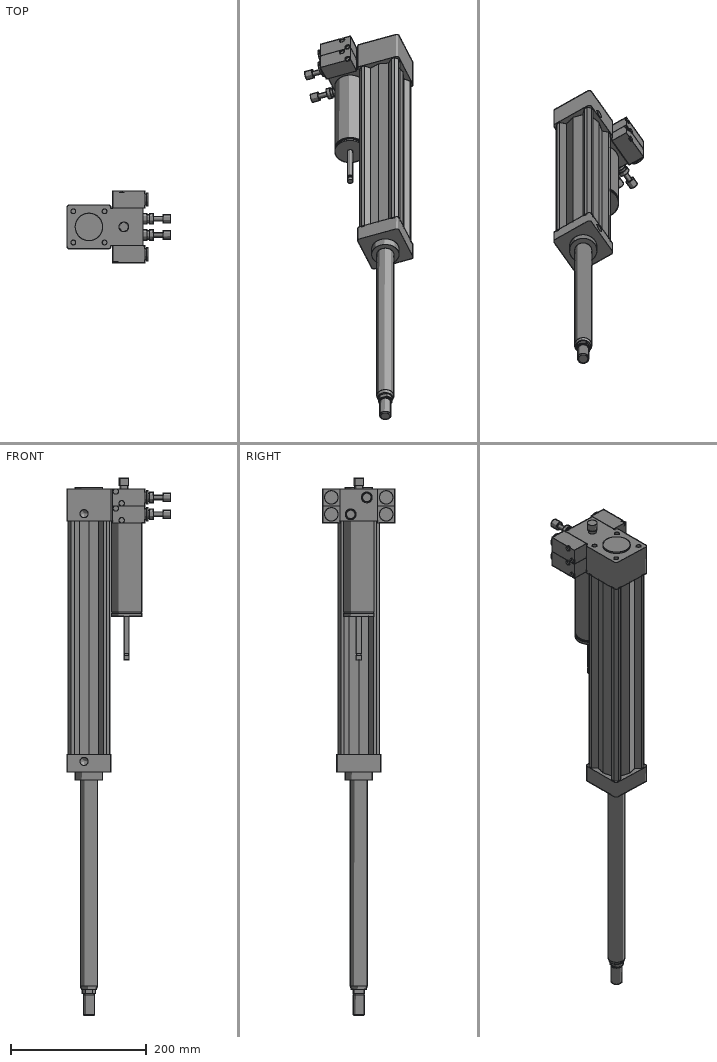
import cadquery as cq
import math


OVERALL_WIDTH = 153.0
OVERALL_DEPTH = 106.0
OVERALL_HEIGHT = 791.0

CAP_BOTTOM = 358.0
CAP_TOP = 384.5
HEAD_BOTTOM = 728.0
HEAD_TOP = 775.0

BLOCK_SIDE = 65.0
BLOCK_CORNER = 4.0
COLLAR_DIAMETER = 40.0
COLLAR_LENGTH = 12.0
PORT_DIAMETER = 12.0
PORT_DEPTH = 8.0
PORT_X = -7.0
HEAD_PORT_Z = 739.0
CAP_PORT_Z = 374.0
DRILL_TIP_ANGLE = 118

EXTENSION_END_X = 80.0
EXTENSION_WIDTH = 55.0
BOSS_HEIGHT = 2.0
SCREW_HOLE_DIAMETER = 7.0
SCREW_HOLE_DEPTH = 8.0
SCREW_HOLE_PITCH = 46.0

KNOB_X = 51.5
KNOB_DIAMETER = 14.0
KNOB_HEIGHT = 11.0
KNOB_TOP = OVERALL_HEIGHT
KNOB_NECK_DIAMETER = 12.0

RESERVOIR_X = 55.0
RESERVOIR_DIAMETER = 45.0
RESERVOIR_BOTTOM = 588.0
RESERVOIR_GROOVE_DIAMETER = 43.5
RESERVOIR_GROOVE_WIDTH = 2.0
RESERVOIR_LIP = 4.0
GAUGE_DIAMETER = 8.0
GAUGE_BOTTOM = 524.0
GAUGE_GROOVE_DIAMETER = 7.0
GAUGE_GROOVE_WIDTH = 3.0
GAUGE_TIP = 6.0

VALVE_START_X = 35.0
VALVE_OUTER_Y = OVERALL_DEPTH / 2
VALVE_STACK_HEIGHT = 50.0
VALVE_HEIGHT = VALVE_STACK_HEIGHT / 2
VALVE_END_X = 82.0
PLUG_NECK_DIAMETER = 17.0
PLUG_NECK_LENGTH = 2.0
PLUG_DIAMETER = 20.0
PLUG_LENGTH = 2.0
VALVE_HOLE_DIAMETER = 8.0
VALVE_HOLE_DEPTH = 2.0
VALVE_HOLE_OFFSET = 9.0
UPPER_HOLE_X = 39.5
LOWER_HOLE_X = 48.0

SCREW_Y = 12.0
SCREW_FLANGE_DIAMETER = 16.0
SCREW_NECK_DIAMETER = 13.0
SCREW_STEM_DIAMETER = 7.0
SCREW_KNOB_DIAMETER = 13.0
SCREW_BASE_END = 85.5
SCREW_NECK_END = 89.0
SCREW_FLANGE_END = 95.0
SCREW_STEM_END = 109.0
SCREW_KNOB_END = OVERALL_WIDTH - BLOCK_SIDE / 2

TUBE_HALF_SIDE = 31.0
TUBE_CORNER = 5.0
GROOVE_OUTER = 21.0
GROOVE_INNER = 14.0
RIDGE_SLOPE = 15

ROD_DIAMETER = 25.0
ROD_SHOULDER_Z = 39.0
ROD_CHAMFER_WIDTH = 1.5
ROD_CHAMFER_HEIGHT = 5.0
WRENCH_DIAMETER = 20.0
WRENCH_FLATS = 17.0
WRENCH_BOTTOM = 32.5
THREAD_DIAMETER = 17.0
THREAD_CHAMFER = 1.5
UNDERCUT_DIAMETER = 16.0
UNDERCUT_LENGTH = 2.0


def upright(diameter, bottom, top, x=0.0):
    """A vertical cylinder between two heights."""
    return cq.Workplane("XY", origin=(x, 0, bottom)).circle(diameter / 2).extrude(top - bottom)


def end_block(bottom, top):
    """The square block with rounded upright corners at either end of the tube."""
    block = cq.Workplane("XY", origin=(0, 0, bottom)).rect(BLOCK_SIDE, BLOCK_SIDE).extrude(top - bottom)
    return block.edges("|Z").fillet(BLOCK_CORNER)


def port_drill(z):
    """A drilled port in the -Y face, with a conical bottom."""
    radius = PORT_DIAMETER / 2
    tip = PORT_DEPTH + radius / math.tan(math.radians(DRILL_TIP_ANGLE / 2))
    return (
        cq.Workplane("XY", origin=(PORT_X, -BLOCK_SIDE / 2, z))
        .polyline([(0, 0), (radius, 0), (radius, PORT_DEPTH), (0, tip)])
        .close()
        .revolve(360, (0, 0, 0), (0, 1, 0))
    )


def reservoir():
    """The oil reservoir with its retaining groove and the level gauge rod below it."""
    groove_bottom = RESERVOIR_BOTTOM + RESERVOIR_LIP
    groove_top = groove_bottom + RESERVOIR_GROOVE_WIDTH
    gauge_groove_bottom = GAUGE_BOTTOM + GAUGE_TIP
    gauge_groove_top = gauge_groove_bottom + GAUGE_GROOVE_WIDTH
    sections = [
        (RESERVOIR_DIAMETER, groove_top, HEAD_BOTTOM),
        (RESERVOIR_GROOVE_DIAMETER, groove_bottom, groove_top),
        (RESERVOIR_DIAMETER, RESERVOIR_BOTTOM, groove_bottom),
        (GAUGE_DIAMETER, gauge_groove_top, RESERVOIR_BOTTOM),
        (GAUGE_GROOVE_DIAMETER, gauge_groove_bottom, gauge_groove_top),
        (GAUGE_DIAMETER, GAUGE_BOTTOM, gauge_groove_bottom),
    ]
    body = upright(*sections[0], RESERVOIR_X)
    for section in sections[1:]:
        body = body.union(upright(*section, RESERVOIR_X))
    return body


def adjusting_screw(y, z):
    """A stepped adjusting screw pointing along +X from the end of the head extension."""
    sections = [
        (SCREW_FLANGE_DIAMETER, SCREW_BASE_END),
        (SCREW_NECK_DIAMETER, SCREW_NECK_END),
        (SCREW_FLANGE_DIAMETER, SCREW_FLANGE_END),
        (SCREW_STEM_DIAMETER, SCREW_STEM_END),
        (SCREW_KNOB_DIAMETER, SCREW_KNOB_END),
    ]
    outline = [(EXTENSION_END_X, 0)]
    start = EXTENSION_END_X
    for diameter, end in sections:
        outline += [(start, diameter / 2), (end, diameter / 2)]
        start = end
    outline.append((SCREW_KNOB_END, 0))
    return (
        cq.Workplane("XY", origin=(0, y, z))
        .polyline(outline)
        .close()
        .revolve(360, (0, 0, 0), (1, 0, 0))
    )


def valve_middle(level):
    """Mid-height of the valves on a level, 0 for the upper and 1 for the lower."""
    return HEAD_TOP - VALVE_HEIGHT * (level + 0.5)


def make_head():
    head = end_block(HEAD_BOTTOM, HEAD_TOP)
    extension = (
        cq.Workplane("XY", origin=(EXTENSION_END_X / 2, 0, HEAD_BOTTOM))
        .rect(EXTENSION_END_X, EXTENSION_WIDTH)
        .extrude(HEAD_TOP - HEAD_BOTTOM)
    )
    head = head.union(extension)
    head = head.union(upright(COLLAR_DIAMETER, HEAD_TOP, HEAD_TOP + BOSS_HEIGHT))
    screw_holes = (
        cq.Workplane("XY", origin=(0, 0, HEAD_TOP))
        .rarray(SCREW_HOLE_PITCH, SCREW_HOLE_PITCH, 2, 2)
        .circle(SCREW_HOLE_DIAMETER / 2)
        .extrude(-SCREW_HOLE_DEPTH)
    )
    head = head.cut(screw_holes).cut(port_drill(HEAD_PORT_Z))
    knob_bottom = KNOB_TOP - KNOB_HEIGHT
    head = head.union(upright(KNOB_NECK_DIAMETER, HEAD_TOP, knob_bottom, KNOB_X))
    head = head.union(upright(KNOB_DIAMETER, knob_bottom, KNOB_TOP, KNOB_X))
    head = head.union(reservoir())
    for level, side in enumerate((1, -1)):
        head = head.union(adjusting_screw(side * SCREW_Y, valve_middle(level)))
    return head


def make_tube():
    """The extruded tube: each side is two lands, two sloping groove walls and a low central ridge."""
    floor = TUBE_HALF_SIDE - (GROOVE_OUTER - GROOVE_INNER)
    ridge = floor + GROOVE_INNER * math.tan(math.radians(RIDGE_SLOPE))
    land_end = TUBE_HALF_SIDE - TUBE_CORNER
    side = [
        (TUBE_HALF_SIDE, -land_end),
        (TUBE_HALF_SIDE, -GROOVE_OUTER),
        (floor, -GROOVE_INNER),
        (ridge, 0),
        (floor, GROOVE_INNER),
        (TUBE_HALF_SIDE, GROOVE_OUTER),
        (TUBE_HALF_SIDE, land_end),
    ]
    outline = []
    for cosine, sine in ((1, 0), (0, 1), (-1, 0), (0, -1)):
        outline += [(x * cosine - y * sine, x * sine + y * cosine) for x, y in side]
    return cq.Workplane("XY", origin=(0, 0, CAP_TOP)).polyline(outline).close().extrude(HEAD_BOTTOM - CAP_TOP)


def make_front_cap():
    cap = end_block(CAP_BOTTOM, CAP_TOP)
    cap = cap.union(upright(COLLAR_DIAMETER, CAP_BOTTOM - COLLAR_LENGTH, CAP_BOTTOM))
    cap = cap.cut(upright(ROD_DIAMETER, CAP_BOTTOM - COLLAR_LENGTH, CAP_TOP))
    return cap.cut(port_drill(CAP_PORT_Z))


def make_rod():
    """The piston rod, with a wrench section and a threaded end below its shoulder."""
    rod = upright(ROD_DIAMETER, ROD_SHOULDER_Z, CAP_TOP)
    rod = rod.faces("<Z").chamfer(ROD_CHAMFER_HEIGHT, ROD_CHAMFER_WIDTH)
    wrench = upright(WRENCH_DIAMETER, WRENCH_BOTTOM, ROD_SHOULDER_Z)
    flats = (
        cq.Workplane("XY", origin=(0, 0, WRENCH_BOTTOM))
        .rect(WRENCH_DIAMETER, WRENCH_FLATS)
        .extrude(ROD_SHOULDER_Z - WRENCH_BOTTOM)
    )
    undercut_bottom = WRENCH_BOTTOM - UNDERCUT_LENGTH
    thread = upright(THREAD_DIAMETER, 0, undercut_bottom).faces("<Z").chamfer(THREAD_CHAMFER)
    undercut = upright(UNDERCUT_DIAMETER, undercut_bottom, WRENCH_BOTTOM)
    return rod.union(wrench.intersect(flats)).union(undercut).union(thread)


def make_valve(side, level):
    """A valve on the +Y (1) or -Y (-1) side; the two sides are half a turn about X apart."""
    inner_y = EXTENSION_WIDTH / 2
    width = VALVE_OUTER_Y - inner_y
    valve = cq.Workplane("XY").box(
        VALVE_END_X - VALVE_START_X, width, VALVE_HEIGHT, centered=(False, True, True)
    ).translate((VALVE_START_X, 0, 0))
    plug = (
        cq.Workplane("YZ", origin=(VALVE_END_X, 0, 0))
        .circle(PLUG_NECK_DIAMETER / 2)
        .extrude(PLUG_NECK_LENGTH)
        .faces(">X")
        .workplane()
        .circle(PLUG_DIAMETER / 2)
        .extrude(PLUG_LENGTH)
    )
    holes = (
        cq.Workplane("XZ", origin=(0, -width / 2, 0))
        .pushPoints([(UPPER_HOLE_X, VALVE_HOLE_OFFSET), (LOWER_HOLE_X, -VALVE_HOLE_OFFSET)])
        .circle(VALVE_HOLE_DIAMETER / 2)
        .extrude(-VALVE_HOLE_DEPTH)
    )
    valve = valve.union(plug).cut(holes)
    if side > 0:
        valve = valve.rotate((0, 0, 0), (1, 0, 0), 180)
    return valve.translate((0, side * (inner_y + width / 2), valve_middle(level)))


head = make_head()
tube = make_tube()
front_cap = make_front_cap()
rod = make_rod()
valves = []
for side in (1, -1):
    for level in (0, 1):
        valves.append(make_valve(side, level).val())

result = cq.Compound.makeCompound([head.val(), tube.val(), front_cap.val(), rod.val(), *valves])